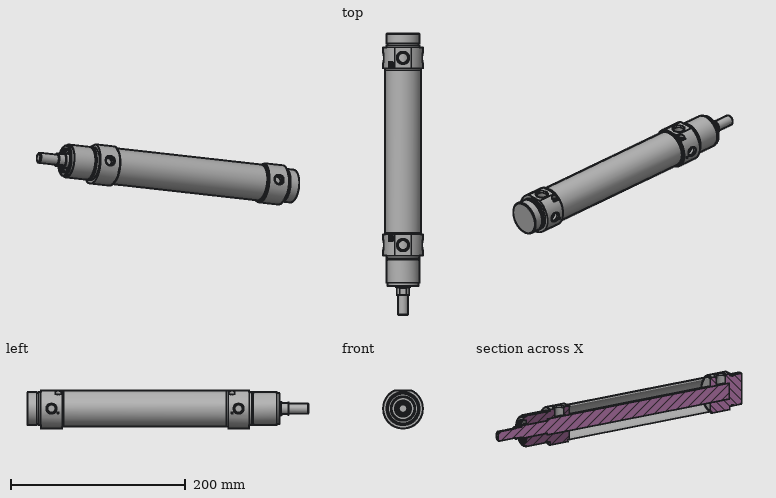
import cadquery as cq

total_length = 323.0

thread_diameter = 12.0
thread_chamfer = 1.3
neck_diameter = 15.0
flats_width = 13.0
rod_diameter = 16.0
sleeve_diameter = 20.0
thread_end = 23.0
neck_chamfer = 0.5
flats_start = 24.0
flats_end = 31.0
neck_end = 31.5
shoulder_end = 32.3
sleeve_start = 64.5
rod_end = 307.0

collar_diameter = 46.0
collar_length = 24.2
collar_flat_height = 21.0
nose_diameter = 38.0
groove_diameter = 36.0
groove_width = 2.0
front_groove_offset = 3.0
rear_groove_offset = 2.5
shoulder_length = 2.0

front_face = 33.3
front_pilot_diameter = 36.0
front_pilot_end = 37.0
front_pilot_chamfer = 1.0
front_collar_start = 68.5
recess_diameter = 26.0
recess_chamfer = 1.3
recess_depth = 4.0
bore_chamfer = 1.3

rear_collar_end = 307.2
rear_chamfer = 1.0

tube_diameter = 41.7
tube_bore = 40.0

port_diameter = 11.3
port_mouth_diameter = 14.5

side_hole_diameter = 9.0
side_hole_mouth_diameter = 12.0
side_hole_mouth_depth = 0.5
side_hole_floor = 16.0

pocket_width = 7.0
pocket_floor = 16.0
pocket_x = -14.0
pocket_offset = 7.8
screw_head_diameter = 3.5
screw_head_height = 0.3
screw_shank_diameter = 2.45
screw_socket_diameter = 1.8
screw_socket_depth = 1.0
screw_length = 5.0

plug_diameter = 1.8
plug_outer_x = -22.0
plug_inner_x = -18.7
plug_z = -5.0
plug_offset = 7.5

front_collar_end = front_collar_start + collar_length
rear_collar_start = rear_collar_end - collar_length
front_port_y = front_collar_start + collar_length / 2
rear_port_y = rear_collar_start + collar_length / 2
tube_start = front_collar_end + shoulder_length
tube_end = rear_collar_start - shoulder_length

collars = [(front_port_y, 1), (rear_port_y, -1)]


def revolve_about_y(points):
    """Solid of revolution about the Y axis from an outline of (radius, y) points."""
    return cq.Workplane("XY").polyline(points).close().revolve(360, (0, 0), (0, 1))


def cylinder_y(diameter, start, end):
    """Cylinder on the Y axis between two stations."""
    return cq.Workplane("XZ", origin=(0, start, 0)).circle(diameter / 2).extrude(start - end)


def cylinder_z(diameter, x, y, bottom, top):
    """Upright cylinder between two heights."""
    return cq.Workplane("XY", origin=(x, y, bottom)).circle(diameter / 2).extrude(top - bottom)


def plug_cylinder(y, outer_x):
    """Cylinder along X on the axis of a plug pin, from its inner end out to outer_x."""
    plane = cq.Workplane("YZ", origin=(plug_inner_x, y, plug_z))
    return plane.circle(plug_diameter / 2).extrude(outer_x - plug_inner_x)


def make_rod():
    thread_radius = thread_diameter / 2
    neck_radius = neck_diameter / 2
    rod_radius = rod_diameter / 2
    sleeve_radius = sleeve_diameter / 2
    rod = revolve_about_y([
        (0, 0),
        (thread_radius - thread_chamfer, 0),
        (thread_radius, thread_chamfer),
        (thread_radius, thread_end),
        (neck_radius - neck_chamfer, thread_end),
        (neck_radius, thread_end + neck_chamfer),
        (neck_radius, neck_end),
        (rod_radius, shoulder_end),
        (rod_radius, sleeve_start),
        (sleeve_radius, sleeve_start),
        (sleeve_radius, rod_end),
        (0, rod_end),
    ])
    flats_length = flats_end - flats_start
    flats_middle = (flats_start + flats_end) / 2
    ring = cylinder_y(rod_diameter, flats_start, flats_end)
    core = cq.Workplane("XY").box(rod_diameter, flats_length, flats_width).translate((0, flats_middle, 0))
    return rod.cut(ring.cut(core))


def cut_groove(head, start):
    """Ring groove around a nose."""
    ring = cylinder_y(nose_diameter, start, start + groove_width)
    return head.cut(ring.cut(cylinder_y(groove_diameter, start, start + groove_width)))


def cut_port(head, y):
    """Flat on top of the collar with a chamfered port that reaches the rod."""
    flat = cq.Workplane("XY").box(collar_diameter, collar_length, collar_diameter, centered=(True, True, False))
    head = head.cut(flat.translate((0, y, collar_flat_height)))
    mouth_depth = (port_mouth_diameter - port_diameter) / 2
    mouth = (
        cq.Workplane("XY", origin=(0, y, collar_flat_height))
        .circle(port_mouth_diameter / 2)
        .workplane(offset=-mouth_depth)
        .circle(port_diameter / 2)
        .loft()
    )
    return head.cut(mouth).cut(cylinder_z(port_diameter, 0, y, 0, collar_flat_height))


def cut_side_holes(head, y):
    """Blind chamfered hole on the -X and +X sides of the collar."""
    cone_depth = (side_hole_mouth_diameter - side_hole_diameter) / 2
    mouth_radius = side_hole_mouth_diameter / 2
    hole_radius = side_hole_diameter / 2
    surface = collar_diameter / 2
    mouth_floor = surface - side_hole_mouth_depth
    hole = (
        cq.Workplane("XY")
        .polyline([
            (side_hole_floor, 0),
            (side_hole_floor, hole_radius),
            (mouth_floor - cone_depth, hole_radius),
            (mouth_floor, mouth_radius),
            (surface, mouth_radius),
            (surface, 0),
        ])
        .close()
        .revolve(360, (0, 0), (1, 0))
        .translate((0, y, 0))
    )
    return head.cut(hole).cut(hole.mirror("YZ"))


def cut_pocket(head, y):
    """Round-ended pocket with a level floor, open towards -X."""
    height = collar_diameter / 2 - pocket_floor
    end = cylinder_z(pocket_width, pocket_x, y, pocket_floor, pocket_floor + height)
    mouth = (
        cq.Workplane("XY")
        .box(pocket_width, pocket_width, height, centered=(False, True, False))
        .translate((pocket_x - pocket_width, y, pocket_floor))
    )
    return head.cut(end).cut(mouth)


def finish_head(head, port_y, towards_tube):
    """Cut the collar features, and the seats of the rod, the cushion screw and the plug pin."""
    head = cut_port(head, port_y)
    head = cut_side_holes(head, port_y)
    screw_y = port_y + towards_tube * pocket_offset
    head = cut_pocket(head, screw_y)
    screw_bottom = pocket_floor - screw_length
    head = head.cut(cylinder_z(screw_shank_diameter, pocket_x, screw_y, screw_bottom, pocket_floor))
    plug_y = port_y + towards_tube * plug_offset
    head = head.cut(plug_cylinder(plug_y, -collar_diameter / 2))
    head = head.cut(cylinder_y(rod_diameter, 0, sleeve_start))
    return head.cut(cylinder_y(sleeve_diameter, sleeve_start, rod_end))


def make_front_head():
    nose_radius = nose_diameter / 2
    pilot_radius = front_pilot_diameter / 2
    collar_radius = collar_diameter / 2
    tube_radius = tube_diameter / 2
    rod_radius = rod_diameter / 2
    recess_radius = recess_diameter / 2
    recess_floor = front_face + recess_depth
    head = revolve_about_y([
        (0, recess_floor + rod_radius + bore_chamfer),
        (rod_radius + bore_chamfer, recess_floor),
        (recess_radius, recess_floor),
        (recess_radius, front_face + recess_chamfer),
        (recess_radius + recess_chamfer, front_face),
        (pilot_radius - front_pilot_chamfer, front_face),
        (pilot_radius, front_face + front_pilot_chamfer),
        (pilot_radius, front_pilot_end),
        (nose_radius, front_pilot_end),
        (nose_radius, front_collar_start),
        (collar_radius, front_collar_start),
        (collar_radius, front_collar_end),
        (tube_radius, front_collar_end),
        (tube_radius, tube_start),
        (0, tube_start),
    ])
    head = cut_groove(head, front_collar_start - front_groove_offset - groove_width)
    return finish_head(head, *collars[0])


def make_rear_head():
    nose_radius = nose_diameter / 2
    collar_radius = collar_diameter / 2
    tube_radius = tube_diameter / 2
    head = revolve_about_y([
        (0, tube_end),
        (tube_radius, tube_end),
        (tube_radius, rear_collar_start),
        (collar_radius, rear_collar_start),
        (collar_radius, rear_collar_end),
        (nose_radius, rear_collar_end),
        (nose_radius, total_length - rear_chamfer),
        (nose_radius - rear_chamfer, total_length),
        (0, total_length),
    ])
    head = cut_groove(head, rear_collar_end + rear_groove_offset)
    return finish_head(head, *collars[1])


def make_tube():
    return cylinder_y(tube_diameter, tube_start, tube_end).cut(cylinder_y(tube_bore, tube_start, tube_end))


def make_cushion_screw(port_y, towards_tube):
    """Screw standing in a pocket: shank in the head, low socket head above the pocket floor."""
    y = port_y + towards_tube * pocket_offset
    top = pocket_floor + screw_head_height
    shank = cylinder_z(screw_shank_diameter, pocket_x, y, pocket_floor - screw_length, pocket_floor)
    head = cylinder_z(screw_head_diameter, pocket_x, y, pocket_floor, top)
    socket = cylinder_z(screw_socket_diameter, pocket_x, y, top - screw_socket_depth, top)
    return shank.union(head).cut(socket)


def make_plug(port_y, towards_tube):
    return plug_cylinder(port_y + towards_tube * plug_offset, plug_outer_x)


rod = make_rod()
tube = make_tube()
front_head = make_front_head()
rear_head = make_rear_head()
cushion_screws = [make_cushion_screw(*collar) for collar in collars]
plugs = [make_plug(*collar) for collar in collars]

result = cq.Compound.makeCompound([
    rod.val(),
    tube.val(),
    front_head.val(),
    rear_head.val(),
    *[screw.val() for screw in cushion_screws],
    *[plug.val() for plug in plugs],
])